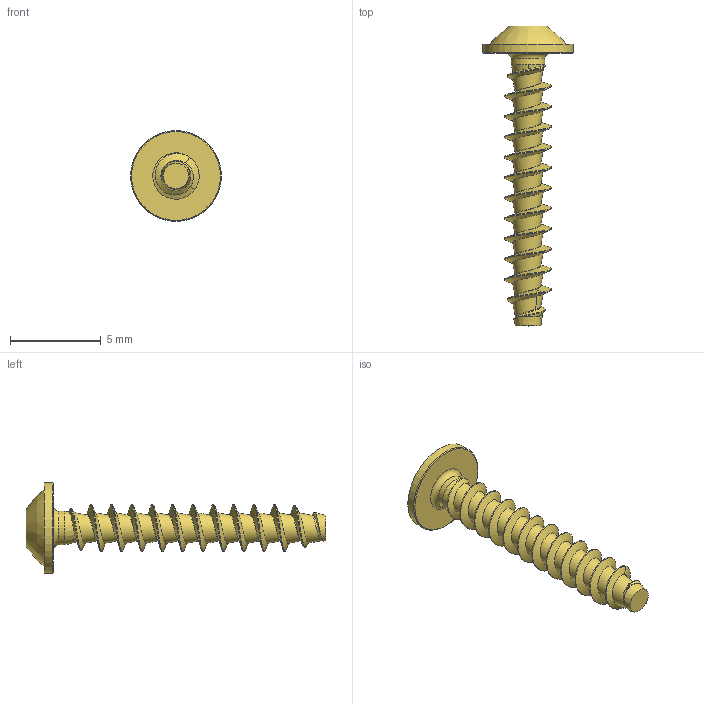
import cadquery as cq
import math


washer_radius = 2.5
washer_thickness = 0.5
washer_edge_chamfer = 0.05
dome_height = 1.0
dome_base_radius = 2.1
dome_top_radius = 1.02
dome_bulge = 0.08

shank_length = 15.0
shoulder_radius = 0.925
shoulder_length = 0.64
neck_fillet = 0.3
neck_cone_end = 1.5
core_radius = 0.704
tip_radius = 0.7
tip_taper_radius = 0.8
tip_taper_length = 0.5

pitch = 1.12
crest_radius = 1.275
crest_width = 0.05
ridge_base_width = 0.4
seat_radius = 0.6
root_high_radius = 0.84
root_low_radius = 0.7
section_length = 0.99 * pitch
thread_start = 0.68
start_crest_radius = 0.98
end_crest_radius = 0.8
fade_in_turns = 0.9
full_turns = 10
last_full_turn = 0.25
fade_out_turns = 1.25
run_out_turns = 0.6


def make_body():
    """Head, shoulder and core as one turned profile."""
    chord_radius = dome_top_radius - dome_base_radius
    chord = math.hypot(chord_radius, dome_height)
    dome_mid_radius = (dome_top_radius + dome_base_radius) / 2 + dome_bulge * dome_height / chord
    dome_mid_depth = -washer_thickness - dome_height / 2 + dome_bulge * chord_radius / chord
    fillet_center_radius = shoulder_radius + neck_fillet
    fillet_mid_offset = neck_fillet * math.sqrt(0.5)
    profile = (
        cq.Workplane("YZ")
        .moveTo(0, -washer_thickness - dome_height)
        .lineTo(dome_top_radius, -washer_thickness - dome_height)
        .threePointArc((dome_mid_radius, dome_mid_depth), (dome_base_radius, -washer_thickness))
        .lineTo(washer_radius, -washer_thickness)
        .lineTo(washer_radius, -washer_edge_chamfer)
        .lineTo(washer_radius - washer_edge_chamfer, 0)
        .lineTo(fillet_center_radius, 0)
        .threePointArc(
            (fillet_center_radius - fillet_mid_offset, neck_fillet - fillet_mid_offset),
            (shoulder_radius, neck_fillet),
        )
        .lineTo(shoulder_radius, shoulder_length)
        .lineTo(core_radius, neck_cone_end)
        .lineTo(core_radius, shank_length)
        .lineTo(0, shank_length)
        .close()
    )
    return profile.revolve(360, (0, 0, 0), (0, 1, 0))


def thread_section(crest):
    """(radius, depth from the crest) of each corner of the thread section."""
    half_base = ridge_base_width / 2
    seat_end = section_length - half_base
    flank_slope = (half_base - crest_width / 2) / (crest_radius - seat_radius)
    root_end = seat_end + flank_slope * (root_low_radius - seat_radius)
    return [
        (seat_radius, -half_base),
        (crest, -crest_width / 2),
        (crest, crest_width / 2),
        (min(root_high_radius, crest), half_base),
        (root_low_radius, root_end),
        (seat_radius, seat_end),
    ]


def helix_edge(first_turn, turns, start_corner, end_corner):
    """Helix between two section corners; it runs on a cone when their radii differ."""
    start_radius, offset = start_corner
    height = turns * pitch
    radius_change = end_corner[0] - start_radius
    if radius_change == 0:
        helix = cq.Wire.makeHelix(pitch, height, start_radius)
    else:
        cone_angle = math.atan2(radius_change, height)
        slant = 1 / math.cos(cone_angle)
        helix = cq.Wire.makeHelix(
            pitch * slant, height * slant, start_radius, angle=math.degrees(cone_angle)
        )
    depth = thread_start + first_turn * pitch + offset
    axis_start = cq.Vector(0, 0, 0)
    axis_end = cq.Vector(0, 0, 1)
    turned = helix.rotate(axis_start, axis_end, 360 * first_turn)
    return turned.translate(cq.Vector(0, 0, depth)).Edges()[0]


def thread_stretch(first_turn, turns, start_crest, end_crest):
    """Solid stretch of thread whose crest radius changes evenly along its turns."""
    corners = zip(thread_section(start_crest), thread_section(end_crest))
    edges = [helix_edge(first_turn, turns, start, end) for start, end in corners]
    next_edges = edges[1:] + edges[:1]
    faces = [cq.Face.makeRuledSurface(a, b) for a, b in zip(edges, next_edges)]
    for end in (0, 1):
        outline = [edge.positionAt(end) for edge in edges]
        faces.append(cq.Face.makeFromWires(cq.Wire.makePolygon(outline, close=True)))
    solid = cq.Solid.makeSolid(cq.Shell.makeShell(faces))
    return cq.Workplane(solid.fix())


def make_tip_trim():
    """Material to remove around the tapered tip and beyond its flat end."""
    far_depth = shank_length + 2 * pitch
    taper_start = shank_length - tip_taper_length
    return (
        cq.Workplane("YZ")
        .moveTo(0, shank_length)
        .lineTo(tip_radius, shank_length)
        .lineTo(tip_taper_radius, taper_start)
        .lineTo(washer_radius, taper_start)
        .lineTo(washer_radius, far_depth)
        .lineTo(0, far_depth)
        .close()
        .revolve(360, (0, 0, 0), (0, 1, 0))
    )


def make_screw():
    stretches = [
        (fade_in_turns, start_crest_radius, crest_radius),
        *[(1, crest_radius, crest_radius)] * full_turns,
        (last_full_turn, crest_radius, crest_radius),
        (fade_out_turns, crest_radius, end_crest_radius),
        (run_out_turns, end_crest_radius, end_crest_radius),
    ]
    screw = make_body()
    first_turn = 0
    for turns, start_crest, end_crest in stretches:
        screw = screw.union(thread_stretch(first_turn, turns, start_crest, end_crest))
        first_turn += turns
    return screw.cut(make_tip_trim())


result = make_screw().rotate((0, 0, 0), (1, 0, 0), 90)